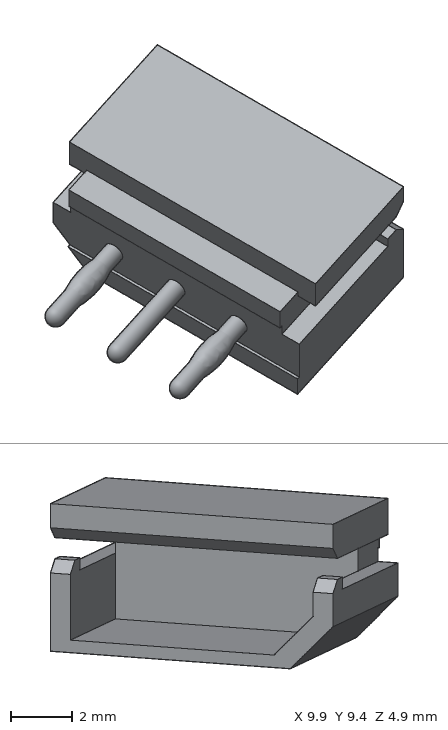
import cadquery as cq
import math

width = 9.9
height = 4.9
front_depth = 5.9
recess_depth = 5.8
recess_bottom = 0.83
recess_top = 3.04
corner_chamfer = 1.5

plate_depth = 4.9
plate_bottom = 3.7
entry_chamfer = 0.4

wall = 0.7
wall_top = 2.6
catch_top = 3.0
catch_length = 0.87

bridge_back = 4.0
bridge_top = 3.92

floor_thickness = 0.42

pin_diameter = 0.7
pin_radius = pin_diameter / 2
pin_tip = 9.4
pin_pitch = 2.5
pin_height = 1.82
pin_embed = 0.5

bulge_center = 7.3
bulge_radius = 0.45
bulge_half_length = 0.8
bulge_drop = 0.02


def extrude_along_x(points, x_start, x_end):
    """Extrude a profile of (depth, z) points between two x positions; depth runs towards -Y."""
    profile = [(-depth, z) for depth, z in points]
    return cq.Workplane("YZ", origin=(x_start, 0, 0)).polyline(profile).close().extrude(x_end - x_start)


def extrude_along_depth(points, depth):
    """Extrude a profile of (x, z) points from the back face towards the front."""
    return cq.Workplane("XZ").polyline(points).close().extrude(depth)


def make_base():
    """Base with catches on top, a recessed front face and the lower left edge cut off."""
    profile = [
        (0, 0),
        (front_depth, 0),
        (front_depth, recess_bottom),
        (recess_depth, recess_bottom),
        (recess_depth, wall_top),
        (catch_length, wall_top),
        (catch_length, catch_top),
        (entry_chamfer, catch_top),
        (0, catch_top - entry_chamfer),
    ]
    corner = [(0, 0), (corner_chamfer, 0), (0, corner_chamfer)]
    base = extrude_along_x(profile, 0, width)
    return base.cut(extrude_along_depth(corner, front_depth))


def make_pocket():
    """Pocket volume that keeps an even wall thickness along the chamfered corner."""
    inner_corner = corner_chamfer + wall * math.sqrt(2)
    outline = [
        (inner_corner - floor_thickness, floor_thickness),
        (width - wall, floor_thickness),
        (width - wall, catch_top),
        (wall, catch_top),
        (wall, inner_corner - wall),
    ]
    return extrude_along_depth(outline, bridge_back)


def make_plate():
    profile = [
        (0, height),
        (plate_depth, height),
        (plate_depth, plate_bottom),
        (entry_chamfer, plate_bottom),
        (0, plate_bottom + entry_chamfer),
    ]
    return extrude_along_x(profile, 0, width)


def make_bridge():
    profile = [
        (bridge_back, wall_top),
        (recess_depth, wall_top),
        (recess_depth, recess_top),
        (front_depth, recess_top),
        (front_depth, bridge_top),
        (bridge_back, bridge_top),
    ]
    return extrude_along_x(profile, wall, width - wall)


def make_pin(x):
    """Round pin with a hemispherical tip."""
    start = recess_depth - pin_embed
    shank_end = pin_tip - pin_radius
    arc_offset = pin_radius * math.sqrt(0.5)
    return (
        cq.Workplane("XY", origin=(x, 0, pin_height))
        .moveTo(0, -start)
        .lineTo(pin_radius, -start)
        .lineTo(pin_radius, -shank_end)
        .threePointArc((arc_offset, -shank_end - arc_offset), (0, -pin_tip))
        .close()
        .revolve(360, (0, 0), (0, 1))
    )


def make_bulge(x):
    """Spindle whose arc rises from the pin surface to the bulge radius."""
    rise = bulge_radius - pin_radius
    arc_radius = (bulge_half_length**2 + rise**2) / (2 * rise)
    spindle_half_length = math.sqrt(arc_radius**2 - (arc_radius - bulge_radius) ** 2)
    return (
        cq.Workplane("XY", origin=(x, -bulge_center, pin_height - bulge_drop))
        .moveTo(0, -spindle_half_length)
        .threePointArc((bulge_radius, 0), (0, spindle_half_length))
        .close()
        .revolve(360, (0, 0), (0, 1))
    )


result = make_base().cut(make_pocket()).union(make_bridge()).union(make_plate())

for position in (-1, 0, 1):
    pin_x = width / 2 + position * pin_pitch
    result = result.union(make_pin(pin_x))
    if position != 0:
        result = result.union(make_bulge(pin_x))